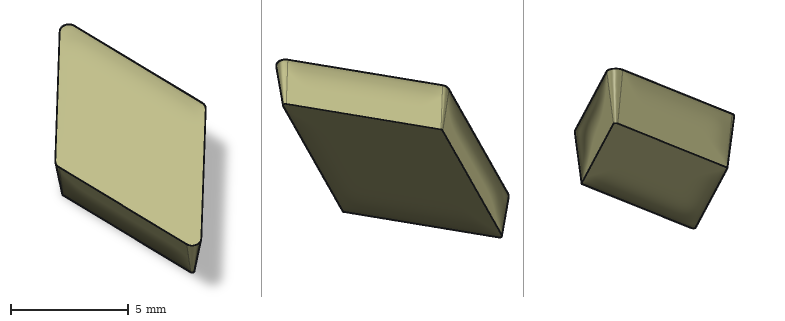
import cadquery as cq
import math

inscribed_circle = 6.35
acute_angle = 55.0
nose_radius = 0.4
thickness = 2.4
clearance_angle = 7.0

side = inscribed_circle / math.sin(math.radians(acute_angle))
slant = side * math.cos(math.radians(acute_angle))
half_length = (side + slant) / 2
half_width = inscribed_circle / 2


def rounded_rhombus():
    """Top outline, with sharp corners at -X+Y and +X-Y."""
    corners = [
        (-half_length, half_width),
        (half_length - slant, half_width),
        (half_length, -half_width),
        (slant - half_length, -half_width),
    ]
    return cq.Sketch().polygon(corners + corners[:1]).vertices().fillet(nose_radius)


result = (
    cq.Workplane("XY", origin=(0, 0, thickness))
    .placeSketch(rounded_rhombus())
    .extrude(-thickness, taper=clearance_angle)
)